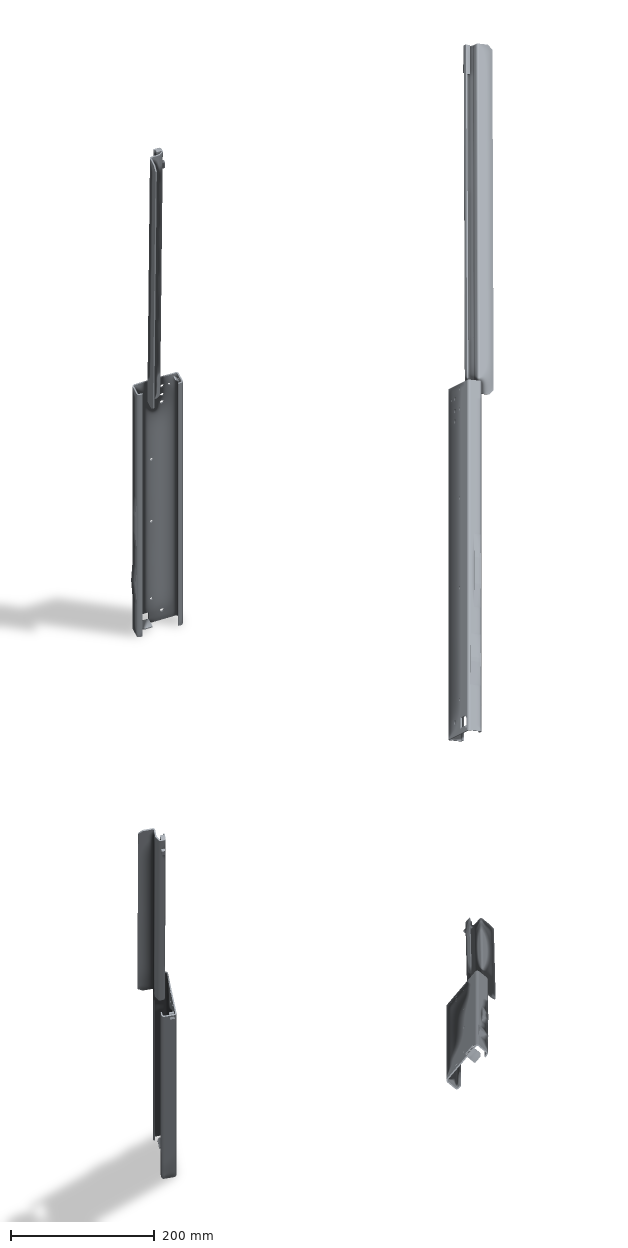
import cadquery as cq
import math

total_height = 985.0
overlap = 15.0
member_length = (total_height + overlap) / 2
total_width = 45.0

total_depth = 71.0
bump_height = 2.0
channel_width = 22.0
channel_wall = 2.0
channel_bend = 4.0
lip_length = 8.0
channel_top_y = total_depth / 2
channel_bottom_y = bump_height - total_depth / 2

large_hole_diameter = 6.0
large_hole_y = 11.0
large_hole_heights = [20.0, 449.0, 464.0, 482.0]
small_hole_diameter = 4.4
small_hole_y = -5.0
small_hole_heights = [49.0, 209.0, 337.0, 464.0, 492.5]
lone_hole_y = 22.0
lone_hole_height = 482.0

window_y_max = -9.0
window_y_min = -28.0
window_bottom = 5.0
window_top = 23.0
window_chamfer = 4.0
tab_y_min = -25.0
tab_top = 9.0
tab_reach = 17.0
tab_bend = 2.0
tab_corner = 5.0

tongue_x_min = 3.0
tongue_x_max = 10.0
tongue_bottom = 489.0
tongue_top = 495.0
tongue_tip_y = 28.0

bump_x_max = 19.0
ramp_length = 33.0
bumps = [(65.0, 6.0, 3.0), (176.0, 37.0, 9.0)]

rail_sheet = 2.0
hook_bend = 2.0
web_bend = 1.0
rail_lean = 4.0
hook_x = 11.0
hook_top = 5.0
hook_tip = -5.0
hook_back_x = 19.0
rail_web_x = 23.0
rail_web_top = -2.0
rail_flange_y = -15.0
flange_chamfer = 7.0

plug_x_max = 17.0
plug_y_min = -3.0
plug_bottom = 944.0

stop_x_min = 12.0
stop_x_max = 17.0
stop_y = 10.0
stop_bottom = 948.0
stop_top = 959.0


def box_between(x, y, z):
    """Box from (min, max) pairs along each axis."""
    size = [high - low for low, high in (x, y, z)]
    return cq.Workplane("XY").box(*size, centered=False).translate((x[0], y[0], z[0]))


def rounded_bar(x, y, radius):
    """Full-length bar with its four long edges rounded."""
    return box_between(x, y, (0, member_length)).edges("|Z").fillet(radius)


def channel_section():
    outer = rounded_bar((0, channel_width), (channel_bottom_y, channel_top_y), channel_bend)
    inner = rounded_bar(
        (channel_wall, channel_width - channel_wall),
        (channel_bottom_y + channel_wall, channel_top_y - channel_wall),
        channel_bend - channel_wall,
    )
    mouth = box_between(
        (channel_width / 2, channel_width),
        (channel_bottom_y + lip_length, channel_top_y - lip_length),
        (0, member_length),
    )
    return outer.cut(inner).cut(mouth)


def web_holes(places, diameter):
    return cq.Workplane("YZ").pushPoints(places).circle(diameter / 2).extrude(channel_wall)


def window():
    opening = box_between(
        (0, channel_wall),
        (window_y_min, window_y_max),
        (window_bottom, window_top),
    )
    return opening.edges("|X and >Z and <Y").chamfer(window_chamfer)


def bent_tab():
    """Tab that leaves the web at the window's lower edge and bends over toward +X."""
    tab = box_between((0, tab_reach), (tab_y_min, window_y_max), (window_bottom, tab_top))
    below = box_between(
        (channel_wall, tab_reach),
        (tab_y_min, window_y_max),
        (window_bottom, tab_top - channel_wall),
    )
    tab = tab.cut(below)
    tab = tab.edges("|Y and <X and >Z").fillet(tab_bend)
    return tab.edges("|Z and >X and <Y").fillet(tab_corner)


def tongue_slot():
    return box_between(
        (tongue_x_min, tongue_x_max),
        (channel_top_y - channel_wall, channel_top_y),
        (tongue_bottom, tongue_top),
    )


def stop_tongue():
    """Sloping tongue, rooted in the lower edge of its slot."""
    return (
        cq.Workplane("YZ")
        .moveTo(channel_top_y, tongue_bottom)
        .lineTo(tongue_tip_y + channel_wall, tongue_top)
        .lineTo(tongue_tip_y, tongue_top)
        .lineTo(channel_top_y - channel_wall, tongue_bottom)
        .close()
        .extrude(tongue_x_max - tongue_x_min)
        .translate((tongue_x_min, 0, 0))
    )


def flange_bump(bottom, flat_length, x_min):
    """Ramp up, flat and ramp down, standing out from the -Y flange."""
    crest = channel_bottom_y - bump_height
    return (
        cq.Workplane("YZ")
        .moveTo(channel_bottom_y, bottom)
        .lineTo(crest, bottom + ramp_length)
        .lineTo(crest, bottom + ramp_length + flat_length)
        .lineTo(channel_bottom_y, bottom + 2 * ramp_length + flat_length)
        .close()
        .extrude(bump_x_max - x_min)
        .translate((x_min, 0, 0))
    )


def make_channel():
    channel = channel_section()
    large_hole_places = [(large_hole_y, z) for z in large_hole_heights]
    channel = channel.cut(web_holes(large_hole_places, large_hole_diameter))
    small_hole_places = [(small_hole_y, z) for z in small_hole_heights]
    small_hole_places.append((lone_hole_y, lone_hole_height))
    channel = channel.cut(web_holes(small_hole_places, small_hole_diameter))
    channel = channel.cut(window()).union(bent_tab())
    channel = channel.cut(tongue_slot()).union(stop_tongue())
    for bottom, flat_length, x_min in bumps:
        channel = channel.union(flange_bump(bottom, flat_length, x_min))
    return channel


def offset_path(points, distance):
    """Shift a path of straight legs sideways, keeping mitred corners."""
    headings = [math.atan2(b[1] - a[1], b[0] - a[0]) for a, b in zip(points, points[1:])]
    before = headings[:1] + headings
    after = headings + headings[-1:]
    shifted = []
    for (x, y), first, second in zip(points, before, after):
        normal = (first + second) / 2 + math.pi / 2
        reach = distance / math.cos((second - first) / 2)
        shifted.append((x + reach * math.cos(normal), y + reach * math.sin(normal)))
    return shifted


def rail_strip():
    """Bent strip: hook leg, hook top, slanted back, web and flange, along the sheet's mid-plane."""
    path = [
        (hook_x, hook_tip),
        (hook_x, hook_top),
        (hook_back_x, hook_top),
        (rail_web_x, rail_web_top),
        (rail_web_x, rail_flange_y),
        (total_width, rail_flange_y),
    ]
    left = offset_path(path, rail_sheet / 2)
    right = offset_path(path, -rail_sheet / 2)
    strip = cq.Workplane("XY").polyline(left + right[::-1]).close().extrude(member_length)
    bends = [hook_bend, hook_bend, web_bend, web_bend]
    for bend, inner_bend in enumerate(bends, start=1):
        middle = [(a + b) / 2 for a, b in zip(path[bend - 1], path[bend + 1])]
        inside, outside = sorted((left[bend], right[bend]), key=lambda corner: math.dist(corner, middle))
        for corner, radius in ((inside, inner_bend), (outside, inner_bend + rail_sheet)):
            edge = cq.selectors.NearestToPointSelector((*corner, member_length / 2))
            strip = strip.edges(edge).fillet(radius)
    return strip


def end_plug():
    return box_between((hook_x, plug_x_max), (plug_y_min, hook_top), (plug_bottom, total_height))


def stop_tab():
    return box_between((stop_x_min, stop_x_max), (hook_top, stop_y), (stop_bottom, stop_top))


def make_rail():
    rail = rail_strip().translate((0, 0, total_height - member_length))
    rail = rail.edges("|Y and >X").chamfer(flange_chamfer)
    rail = rail.union(end_plug()).union(stop_tab())
    lean_angle = math.degrees(math.asin(rail_lean / member_length))
    pivot_y = rail_flange_y - rail_sheet / 2
    return rail.rotate((0, pivot_y, total_height), (1, pivot_y, total_height), -lean_angle)


channel = make_channel()
rail = make_rail()
result = cq.Compound.makeCompound([channel.val(), rail.val()])